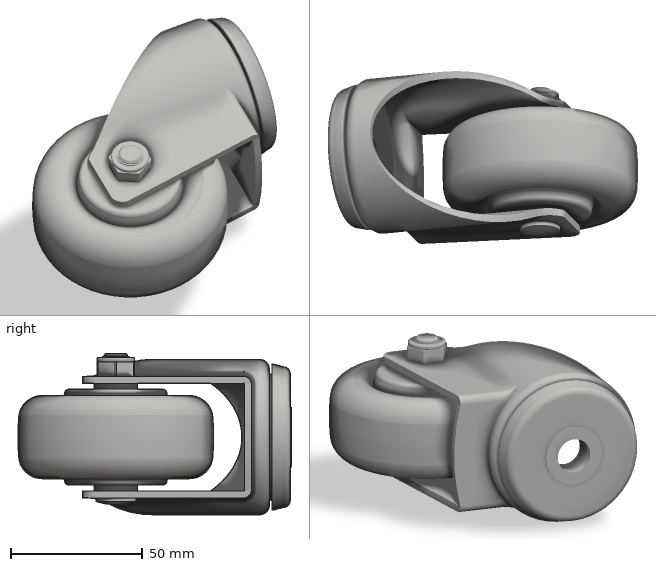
import cadquery as cq
import math


axle_offset = 34.5
axle_radius = 4.5
mount_bore_radius = 6.6

sheet = 2.7
fork_radius = 29.7
fork_top = 58.6
crown_bend = 3.9
leg_outer = 23.2
leg_inner = leg_outer - sheet
neck_bend = 12.5
plate_top = 51.7
plate_bend = 2.9
plate_inner_bend = plate_bend - sheet
step_bend = 0.9
plate_edge = 40.5
plate_bulge = 43.0
cut_start_height = 48.1
cut_end_x = 23.9
leg_bottom = -12.6
blank_bottom = 2 * leg_bottom
leg_rear = 49.6
toe_radius = 3.1
heel_radius = 4.9
cut_slope = (cut_start_height - leg_bottom) / (fork_radius + cut_end_x)

bend_z = leg_outer + neck_bend
bend_x = math.sqrt((fork_radius + neck_bend) ** 2 - bend_z ** 2)
bend_angle = math.atan2(bend_z, bend_x)

head_top = 66.6
head_bottom = 59.6
head_rim_radius = 27.9
head_rim_height = 0.5
head_shoulder_radius = 26.9
head_round = 2.7
head_neck_radius = 24.1
pad_radius = 11.4
pad_top = 67.1

wheel_radius = 37.4
tread_edge_radius = 37.0
tread_half_width = 8.3
tyre_half_width = 15.9
tyre_inner_radius = 28.0
rim_radius = 27.4
rim_half_width = 15.7
groove_radius = 20.7
groove_half_width = 12.7
boss_base_radius = 19.5
boss_round = 1.7
boss_half_width = 18.3
sleeve_radius = 8.4

bolt_head_radius = 7.6
bolt_head_edge = 1.4
bolt_head_dome = 1.3
nut_flats = 14.2
nut_corner_radius = 8.0
nut_height = 5.4
collar_radius = 7.2
collar_height = 1.8
collar_round = 0.6
tip_top = 32.0
tip_radius = 3.8
lip_radius = 5.0
lip_height = 0.4


def cylinder_y(radius, bottom, top):
    """Cylinder on the swivel axis."""
    return cq.Workplane("XZ", origin=(0, bottom, 0)).circle(radius).extrude(bottom - top)


def cylinder_z(radius, bottom, top):
    """Cylinder on the wheel axle."""
    return cq.Workplane("XY", origin=(axle_offset, 0, bottom)).circle(radius).extrude(top - bottom)


def drum(inset):
    """Round part of the fork, offset inwards by inset."""
    body = cylinder_y(fork_radius - inset, blank_bottom, fork_top - inset)
    return body.faces(">Y").edges().fillet(crown_bend - inset)


def arm(inset, edge_bend):
    """Straight part of the fork with its two concave bends, offset inwards by inset."""
    radius = fork_radius - inset
    half_width = leg_outer - inset
    bend = neck_bend + inset
    start_x = radius * math.cos(bend_angle)
    start_z = radius * math.sin(bend_angle)
    mid_angle = (bend_angle + math.pi / 2) / 2
    mid_x = bend_x - bend * math.cos(mid_angle)
    mid_z = bend_z - bend * math.sin(mid_angle)
    rear = leg_rear + 2 * inset
    height = plate_top - inset
    body = (
        cq.Workplane("XZ", origin=(0, blank_bottom, 0))
        .lineTo(start_x, start_z)
        .threePointArc((mid_x, mid_z), (bend_x, half_width))
        .lineTo(rear, half_width)
        .lineTo(rear, -half_width)
        .lineTo(bend_x, -half_width)
        .threePointArc((mid_x, -mid_z), (start_x, -start_z))
        .close()
        .extrude(blank_bottom - height)
    )
    mid_leg = (bend_x + rear) / 2
    for side in (1, -1):
        corner = (mid_leg, height, side * half_width)
        body = body.edges(cq.selectors.NearestToPointSelector(corner)).fillet(edge_bend)
    return body


def fork_envelope(inset, edge_bend):
    """Drum and arm together, with the bend where the drum steps down to the web."""
    body = drum(inset).union(arm(inset, edge_bend))
    height = plate_top - inset
    half_window = leg_outer - crown_bend - sheet
    step_edges = cq.selectors.BoxSelector(
        (0, height - step_bend / 2, -half_window),
        (fork_radius - inset, height + step_bend / 2, half_window),
    )
    return body.edges(step_edges).fillet(step_bend + inset)


def cut_height(x):
    """Height of the slanted lower edge where the outer surface of the fork is at x."""
    return cut_start_height - cut_slope * (x + fork_radius)


def leg_outline():
    """Side outline of the fork behind the concave bends, as a block across the full width."""
    block = (
        cq.Workplane("XY", origin=(0, 0, -fork_radius))
        .moveTo(bend_x, cut_height(bend_x))
        .lineTo(cut_end_x, leg_bottom)
        .lineTo(leg_rear, leg_bottom)
        .lineTo(plate_edge, plate_top - plate_bend)
        .lineTo(plate_edge, fork_top)
        .lineTo(-fork_radius, fork_top)
        .lineTo(-fork_radius, leg_bottom)
        .lineTo(bend_x, leg_bottom)
        .close()
        .extrude(2 * fork_radius)
    )
    toe = cq.selectors.NearestToPointSelector((cut_end_x, leg_bottom, 0))
    heel = cq.selectors.NearestToPointSelector((leg_rear, leg_bottom, 0))
    return block.edges(toe).fillet(toe_radius).edges(heel).fillet(heel_radius)


def edge_cutter(center, outer_radius, radii, start, stop):
    """Waste below the slanted edge of one curved stretch, cut square to the sheet.

    The stretch turns about center (x, z); outer_radius is that of the fork's outer surface.
    """
    def edge_at(radius):
        return cq.Workplane("XY").parametricCurve(
            lambda angle: (
                center[0] + radius * math.cos(angle),
                cut_height(center[0] + outer_radius * math.cos(angle)),
                center[1] + radius * math.sin(angle),
            ),
            start=start,
            stop=stop,
        ).edges().val()

    surface = cq.Face.makeRuledSurface(edge_at(radii[0]), edge_at(radii[1]))
    return cq.Workplane(cq.Solid.extrudeLinear(surface, cq.Vector(0, blank_bottom - fork_top, 0)))


def trim_lower_edge(body):
    drum_radii = (fork_radius - 2 * sheet, fork_radius + sheet)
    bend_radii = (neck_bend - sheet, neck_bend + 2 * sheet)
    drum_cutter = edge_cutter((0, 0), fork_radius, drum_radii, bend_angle, 2 * math.pi - bend_angle)
    bend_cutter = edge_cutter(
        (bend_x, bend_z), neck_bend, bend_radii, math.pi + bend_angle, 3 * math.pi / 2
    )
    return body.cut(drum_cutter).cut(bend_cutter).cut(bend_cutter.mirror("XY"))


def web_bulge():
    """Rounded rear edge of the web between the legs."""
    half_width = leg_outer - plate_bend
    return (
        cq.Workplane("XZ", origin=(0, plate_top, 0))
        .moveTo(plate_edge, half_width)
        .threePointArc((plate_bulge, 0), (plate_edge, -half_width))
        .close()
        .extrude(sheet)
    )


def mounting_head():
    """Cap with a rounded shoulder, a raised pad and a short neck on top of the drum."""
    shoulder_height = head_top - head_round
    round_mid = head_round * (1 - math.sqrt(0.5))
    return (
        cq.Workplane("XY")
        .moveTo(0, fork_top)
        .lineTo(head_neck_radius, fork_top)
        .lineTo(head_neck_radius, head_bottom)
        .lineTo(head_rim_radius, head_bottom)
        .lineTo(head_rim_radius, head_bottom + head_rim_height)
        .lineTo(head_shoulder_radius, shoulder_height)
        .threePointArc(
            (head_shoulder_radius - round_mid, head_top - round_mid),
            (head_shoulder_radius - head_round, head_top),
        )
        .lineTo(pad_radius, head_top)
        .lineTo(pad_radius, pad_top)
        .lineTo(0, pad_top)
        .close()
        .revolve(360, (0, 0, 0), (0, 1, 0))
    )


def make_fork():
    """Drum, legs, web and mounting head as one solid, bored for the mounting and the axle."""
    shell = fork_envelope(0, plate_bend).cut(fork_envelope(sheet, plate_inner_bend))
    body = trim_lower_edge(shell.intersect(leg_outline())).union(web_bulge()).union(mounting_head())
    body = body.cut(cylinder_y(mount_bore_radius, 0, pad_top))
    return body.cut(cylinder_z(axle_radius, -leg_outer, leg_outer))


def flat_arc_middle(flat_end, steep_end):
    """Middle of an arc that starts along the radius at one end and bends down to the other."""
    run = steep_end[0] - flat_end[0]
    drop = flat_end[1] - steep_end[1]
    radius = (run ** 2 + drop ** 2) / (2 * drop)
    half_angle = math.asin(min(abs(run) / radius, 1)) / 2
    side = math.copysign(1, run)
    return (
        flat_end[0] + side * radius * math.sin(half_angle),
        flat_end[1] - radius * (1 - math.cos(half_angle)),
    )


def wheel_half():
    """Upper half of the wheel without the crown of its tread."""
    boss_top = (boss_base_radius - boss_round, boss_half_width)
    boss_side = (boss_base_radius, boss_half_width - boss_round)
    groove_floor = (groove_radius, groove_half_width)
    rim = (rim_radius, rim_half_width)
    tyre_side = (tyre_inner_radius, tyre_half_width)
    tread_edge = (tread_edge_radius, tread_half_width)
    return (
        cq.Workplane("XZ")
        .moveTo(axle_radius, 0)
        .lineTo(axle_radius, leg_inner)
        .lineTo(sleeve_radius, leg_inner)
        .lineTo(sleeve_radius, boss_half_width)
        .lineTo(*boss_top)
        .threePointArc(flat_arc_middle(boss_top, boss_side), boss_side)
        .lineTo(*groove_floor)
        .threePointArc(flat_arc_middle(rim, groove_floor), rim)
        .lineTo(*tyre_side)
        .threePointArc(flat_arc_middle(tyre_side, tread_edge), tread_edge)
        .lineTo(tread_edge_radius, 0)
        .close()
        .revolve(360, (0, 0, 0), (0, 1, 0))
    )


def tread_crown():
    """Slightly crowned band around the middle of the tyre."""
    return (
        cq.Workplane("XZ")
        .moveTo(tyre_inner_radius, -tread_half_width)
        .lineTo(tread_edge_radius, -tread_half_width)
        .threePointArc((wheel_radius, 0), (tread_edge_radius, tread_half_width))
        .lineTo(tyre_inner_radius, tread_half_width)
        .close()
        .revolve(360, (0, 0, 0), (0, 1, 0))
    )


def make_wheel():
    half = wheel_half()
    return half.union(half.mirror("XY")).union(tread_crown()).translate((axle_offset, 0, 0))


def make_bolt():
    """Shank with a domed head below the lower leg and a chamfered tip above the nut."""
    shank = (
        cylinder_z(axle_radius, -leg_outer, tip_top)
        .faces(">Z")
        .chamfer(axle_radius - tip_radius)
    )
    head_side = (bolt_head_radius, -leg_outer - bolt_head_edge)
    dome_top = head_side[1] - bolt_head_dome
    dome_arc = (bolt_head_radius ** 2 + bolt_head_dome ** 2) / (2 * bolt_head_dome)
    half_radius = bolt_head_radius / 2
    half_height = dome_top + dome_arc - math.sqrt(dome_arc ** 2 - half_radius ** 2)
    head = (
        cq.Workplane("XZ")
        .moveTo(0, -leg_outer)
        .lineTo(bolt_head_radius, -leg_outer)
        .lineTo(*head_side)
        .threePointArc((half_radius, half_height), (0, dome_top))
        .close()
        .revolve(360, (0, 0, 0), (0, 1, 0))
        .translate((axle_offset, 0, 0))
    )
    return shank.union(head)


def make_nut():
    """Hexagon with turned-down corners, a round collar on top and a low lip around the bore."""
    hexagon_top = leg_outer + nut_height
    collar_top = hexagon_top + collar_height
    lip_top = collar_top + lip_height
    corner_diameter = nut_flats / math.cos(math.pi / 6)
    hexagon = (
        cq.Workplane("XY", origin=(axle_offset, 0, leg_outer))
        .polygon(6, corner_diameter)
        .extrude(nut_height)
        .intersect(cylinder_z(nut_corner_radius, leg_outer, hexagon_top))
    )
    collar = (
        cylinder_z(collar_radius, hexagon_top, collar_top)
        .faces("<Z or >Z")
        .edges()
        .fillet(collar_round)
    )
    lip = cylinder_z(lip_radius, hexagon_top, lip_top)
    return hexagon.union(collar).union(lip).cut(cylinder_z(axle_radius, leg_outer, lip_top))


fork = make_fork()
wheel = make_wheel()
bolt = make_bolt()
nut = make_nut()

result = cq.Compound.makeCompound(
    [*fork.solids().vals(), *wheel.solids().vals(), *bolt.solids().vals(), *nut.solids().vals()]
)